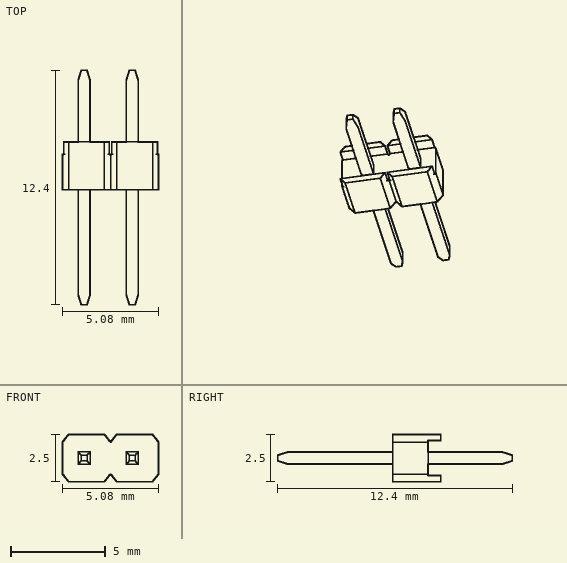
import cadquery as cq

pin_count = 2
pitch = 2.54

body_width = pin_count * pitch
body_height = 2.5
body_depth = 2.54
body_front = -0.12
body_back = body_front + body_depth
corner_run = 0.32
corner_rise = 0.41

recess_height = 1.84
recess_depth = 0.67

pin_length = 12.4
pin_size = 0.65
pin_tip_size = 0.31
pin_tip_length = 0.53
pin_offset = -0.12


def cell_center(index):
    return (index - (pin_count - 1) / 2) * pitch


def make_cell(index):
    """One bevelled eight-sided cell of the housing."""
    half_width = pitch / 2
    half_height = body_height / 2
    flat_x = half_width - corner_run
    flat_z = half_height - corner_rise
    outline = [
        (-flat_x, -half_height),
        (flat_x, -half_height),
        (half_width, -flat_z),
        (half_width, flat_z),
        (flat_x, half_height),
        (-flat_x, half_height),
        (-half_width, flat_z),
        (-half_width, -flat_z),
    ]
    cell = cq.Workplane("XZ").polyline(outline).close().extrude(-body_depth)
    return cell.translate((cell_center(index), body_front, 0))


def make_recess():
    recess = cq.Workplane("XY").box(body_width, recess_depth, recess_height)
    return recess.translate((0, body_back - recess_depth / 2, 0))


def make_pin_tip(direction):
    """Tapered pin end; direction is +1 for the back end, -1 for the front."""
    shoulder = direction * (pin_length / 2 - pin_tip_length)
    return (
        cq.Workplane("XZ", origin=(0, shoulder, 0))
        .rect(pin_size, pin_size)
        .workplane(offset=-direction * pin_tip_length)
        .rect(pin_tip_size, pin_tip_size)
        .loft(ruled=True)
    )


def make_pin(index):
    shank_length = pin_length - 2 * pin_tip_length
    pin = cq.Workplane("XY").box(pin_size, shank_length, pin_size)
    for direction in (-1, 1):
        pin = pin.union(make_pin_tip(direction))
    return pin.translate((cell_center(index) + pin_offset, 0, 0))


result = make_cell(0)
for i in range(1, pin_count):
    result = result.union(make_cell(i))
result = result.cut(make_recess())
for i in range(pin_count):
    result = result.union(make_pin(i))